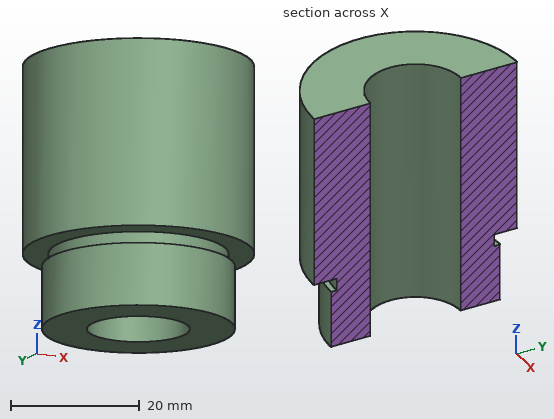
import cadquery as cq

total_height = 42.0
body_diameter = 36.0
bore_diameter = 16.0

spigot_diameter = 30.0
spigot_height = 10.0
groove_diameter = 28.0
groove_height = 2.0

body_height = total_height - spigot_height - groove_height


def add_cylinder(stack, diameter, height):
    """Add a coaxial cylinder on top of the stack."""
    return stack.faces(">Z").workplane().circle(diameter / 2).extrude(height)


sleeve = cq.Workplane("XY").circle(spigot_diameter / 2).extrude(spigot_height)
sleeve = add_cylinder(sleeve, groove_diameter, groove_height)
sleeve = add_cylinder(sleeve, body_diameter, body_height)

result = sleeve.faces(">Z").workplane().hole(bore_diameter)